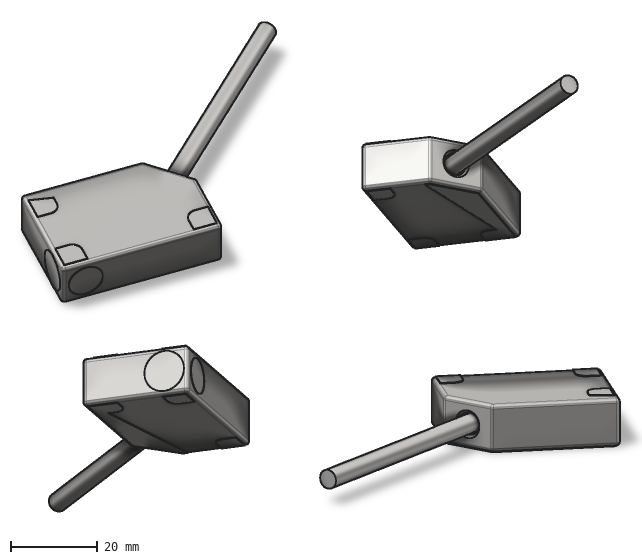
import cadquery as cq
import math

overall_length = 76.85

width = 26.4
length = 40.0
thickness = 11.5
edge_radius = 1.0
corner_cut = 9.6

pad_size = 5.8
pad_radius = 2.5
pad_height = 0.2
left_pad_end = 8.4

wedge_front_x = 2.3
wedge_back_x = 11.4

window_offset = 5.9
front_window_diameter = 9.8
front_window_height = 0.1
side_window_diameter = 8.45
side_window_height = 0.15

cable_diameter = 4.5
entry_diameter = 5.4
entry_rim_diameter = 6.7
entry_depth = 2.0

half_thickness = thickness / 2
cut_middle_y = length - corner_cut / 2
cable_reach_y = overall_length - front_window_height - cut_middle_y
cable_length = cable_reach_y * math.sqrt(2) - cable_diameter / 2
overlap = 0.8

flat_left = edge_radius
flat_right = width - edge_radius
flat_front = edge_radius
flat_back = length - edge_radius
flat_cut = corner_cut - edge_radius * (2 - math.sqrt(2))
arc_inset = pad_radius * (1 - math.sqrt(0.5))


def make_housing():
    outline = [
        (0, 0),
        (width, 0),
        (width, length),
        (corner_cut, length),
        (0, length - corner_cut),
    ]
    base = cq.Workplane("XY").workplane(offset=-half_thickness)
    box = base.polyline(outline).close().extrude(thickness)
    return box.edges().fillet(edge_radius)


def wedge_line_x(y):
    """X of the wedge line at a given Y."""
    return wedge_front_x + (wedge_back_x - wedge_front_x) * y / length


def pad_plane():
    """Plane just inside the top face, where the pads start."""
    return cq.Workplane("XY").workplane(offset=half_thickness - overlap)


def make_right_pad(corner_y, inward):
    """Pad at a right-hand corner; inward is +1 or -1 along Y, away from the corner."""
    inner_x = flat_right - pad_size
    inner_y = corner_y + inward * pad_size
    return (
        pad_plane()
        .moveTo(flat_right, corner_y)
        .lineTo(flat_right, inner_y)
        .lineTo(inner_x + pad_radius, inner_y)
        .threePointArc(
            (inner_x + arc_inset, inner_y - inward * arc_inset),
            (inner_x, inner_y - inward * pad_radius),
        )
        .lineTo(inner_x, corner_y)
        .close()
        .extrude(overlap + pad_height)
    )


def make_left_pad():
    """Front left pad, bounded on its left by the wedge line."""
    pad_back = flat_front + pad_size
    return (
        pad_plane()
        .moveTo(wedge_line_x(flat_front), flat_front)
        .lineTo(left_pad_end, flat_front)
        .lineTo(left_pad_end, pad_back - pad_radius)
        .threePointArc(
            (left_pad_end - arc_inset, pad_back - arc_inset),
            (left_pad_end - pad_radius, pad_back),
        )
        .lineTo(wedge_line_x(pad_back), pad_back)
        .close()
        .extrude(overlap + pad_height)
    )


def make_pads():
    """The three pads of the top face."""
    pads = make_left_pad()
    pads = pads.union(make_right_pad(flat_front, 1))
    return pads.union(make_right_pad(flat_back, -1))


def make_bottom_wedge():
    """Cable-side wedge, standing proud of the bottom face as far as the pads."""
    outline = [
        (flat_left, flat_front),
        (wedge_line_x(flat_front), flat_front),
        (wedge_line_x(flat_back), flat_back),
        (flat_left + flat_cut, flat_back),
        (flat_left, flat_back - flat_cut),
    ]
    base = cq.Workplane("XY").workplane(offset=-half_thickness - pad_height)
    return base.polyline(outline).close().extrude(overlap + pad_height)


def make_front_window():
    face = cq.Workplane("XZ", origin=(width - window_offset, overlap, 0))
    return face.circle(front_window_diameter / 2).extrude(overlap + front_window_height)


def make_side_window():
    face = cq.Workplane("YZ", origin=(width - overlap, window_offset, 0))
    return face.circle(side_window_diameter / 2).extrude(overlap + side_window_height)


cable_plane = cq.Plane(
    origin=(corner_cut / 2, cut_middle_y, 0),
    xDir=(1, 1, 0),
    normal=(-1, 1, 0),
)


def make_entry_hole():
    """Blind hole around the cable with a 45 degree rim."""
    rim_depth = (entry_rim_diameter - entry_diameter) / 2
    hole = cq.Workplane(cable_plane).circle(entry_diameter / 2).extrude(-entry_depth)
    rim = cq.Workplane(cable_plane).circle(entry_rim_diameter / 2).extrude(-rim_depth, taper=45)
    return hole.union(rim)


def make_cable():
    cable = cq.Workplane(cable_plane).workplane(offset=-entry_depth - overlap)
    return cable.circle(cable_diameter / 2).extrude(entry_depth + overlap + cable_length)


pads = make_pads()
result = (
    make_housing()
    .union(pads)
    .union(pads.mirror("XY"))
    .union(make_bottom_wedge())
    .union(make_front_window())
    .union(make_side_window())
    .cut(make_entry_hole())
    .union(make_cable())
)